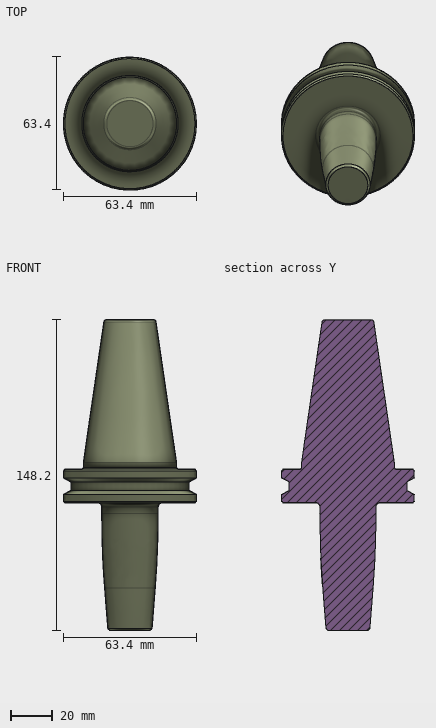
import cadquery as cq
import math

total_height = 148.2
gauge_height = 80.0
flange_top = 77.0
flange_bottom = 61.0
nose_cylinder_bottom = 55.7
nose_break_height = 20.5

gauge_radius = 22.2
taper_slope = 7 / 24 / 2
shank_tip_fillet = 1.5
shank_root_chamfer = 0.7

flange_radius = 31.7
flange_chamfer = 0.7
groove_floor_radius = 28.2
groove_floor_bottom = 66.9
groove_floor_top = 70.9
groove_side_height = 2.0

nose_radius = 13.5
nose_cone_angle = 4.5
nose_tip_chamfer = 1.0
nose_root_fillet = 2.0


def make_shank():
    """Taper above the gauge plane, with a short cylinder down to the flange."""
    tip_radius = gauge_radius - taper_slope * (total_height - gauge_height)
    profile = (
        cq.Workplane("XZ")
        .moveTo(0, flange_top)
        .lineTo(gauge_radius + shank_root_chamfer, flange_top)
        .lineTo(gauge_radius, flange_top + shank_root_chamfer)
        .lineTo(gauge_radius, gauge_height)
        .lineTo(tip_radius, total_height)
        .lineTo(0, total_height)
        .close()
    )
    return profile.revolve(360, (0, 0), (0, 1)).faces(">Z").fillet(shank_tip_fillet)


def make_flange():
    """Chamfered disc with a trapezoidal groove around its rim."""
    disc = (
        cq.Workplane("XY")
        .workplane(offset=flange_bottom)
        .circle(flange_radius)
        .extrude(flange_top - flange_bottom)
        .edges()
        .chamfer(flange_chamfer)
    )
    groove = (
        cq.Workplane("XZ")
        .moveTo(groove_floor_radius, groove_floor_bottom)
        .lineTo(flange_radius, groove_floor_bottom - groove_side_height)
        .lineTo(flange_radius, groove_floor_top + groove_side_height)
        .lineTo(groove_floor_radius, groove_floor_top)
        .close()
        .revolve(360, (0, 0), (0, 1))
    )
    return disc.cut(groove)


def make_nose():
    """Cone, a long arc tangent to it and to the neck, then a concave fillet into the flange."""
    cone_angle = math.radians(nose_cone_angle)
    arc_height = nose_cylinder_bottom - nose_break_height
    break_radius = nose_radius - arc_height * math.tan(cone_angle / 2)
    tip_radius = break_radius - nose_break_height * math.tan(cone_angle)
    fillet_bottom = flange_bottom - nose_root_fillet
    profile = (
        cq.Workplane("XZ")
        .lineTo(tip_radius, 0)
        .lineTo(break_radius, nose_break_height)
        .tangentArcPoint((nose_radius, nose_cylinder_bottom), relative=False)
        .lineTo(nose_radius, fillet_bottom)
        .tangentArcPoint((nose_radius + nose_root_fillet, flange_bottom), relative=False)
        .lineTo(0, flange_bottom)
        .close()
    )
    return profile.revolve(360, (0, 0), (0, 1)).faces("<Z").chamfer(nose_tip_chamfer)


result = make_flange().union(make_shank()).union(make_nose())